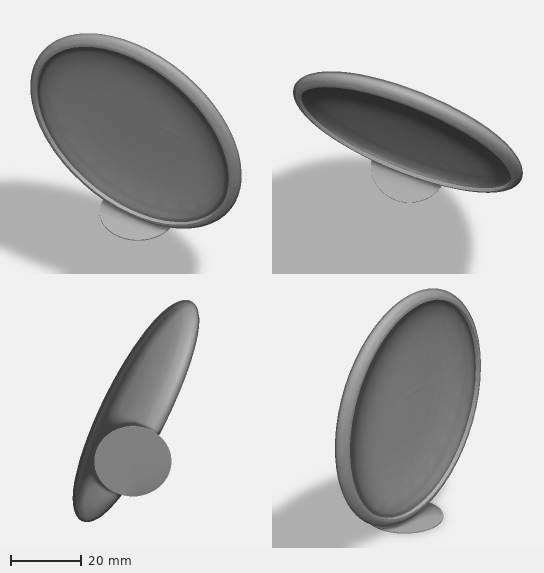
import cadquery as cq

dish_radius = 70 / 2
wall = 1.0
widest_y = -1.1
back_y = 4.75
mouth_y = -3.35
mouth_radius = 32.35
lip_inset = 0.2
outer_roll = (34.3, -2.6)
inner_roll = (33.6, -1.9)
outer_shoulder = [(34.2, 0.4), (32.35, 1.75), (28.7, 2.9), (20.3, 4.2), (9.8, 4.7)]
inner_shoulder = [(33.3, 0.0), (31.8, 0.9), (28.35, 1.95), (20.15, 3.2), (9.8, 3.7)]

foot_diameter = 22.0
foot_thickness = 0.35
foot_bottom_z = -34.9

def make_dish():
    """Revolve the closed wall section around the Y axis."""
    lip_inner = (mouth_radius - lip_inset, mouth_y + wall)
    outer_curve = [outer_roll, (dish_radius, widest_y)] + outer_shoulder + [(0, back_y)]
    inner_curve = [inner_roll, (dish_radius - wall, widest_y)] + inner_shoulder + [(0, back_y - wall)]
    section = (
        cq.Workplane("XY")
        .moveTo(mouth_radius, mouth_y)
        .spline(outer_curve, includeCurrent=True)
        .lineTo(*inner_curve[-1])
        .spline(inner_curve[-2::-1] + [lip_inner], includeCurrent=True)
        .close()
    )
    return section.revolve(360, (0, 0, 0), (0, 1, 0))


def make_foot():
    return (
        cq.Workplane("XY", origin=(0, 0, foot_bottom_z))
        .circle(foot_diameter / 2)
        .extrude(foot_thickness)
    )


result = make_dish().union(make_foot())